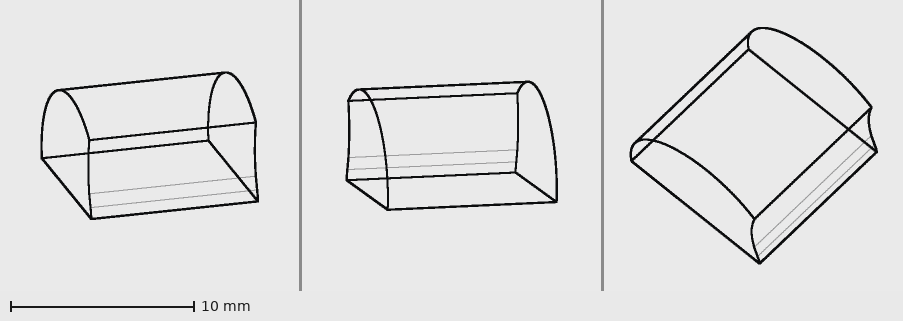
import cadquery as cq
import math

width = 9.53
length = 9.5
height = 5.69

dome_half_width = 5.52
dome_half_height = 4.9
dome_center_x = dome_half_width
dome_center_z = height - dome_half_height
dome_steps = 12

base_rise = 0.105

crest_z = 4.48
scoop_middle = (8.94, 2.86)
scoop_bottom = (9.13, 1.33)
flank_bottom = (9.38, 0.62)
lip_middle = (9.48, 0.32)
tip = (width, 0.0)


def dome_point(angle):
    """Point on the dome ellipse at a parametric angle."""
    return (
        dome_center_x + dome_half_width * math.cos(angle),
        dome_center_z + dome_half_height * math.sin(angle),
    )


def dome_angle(z):
    """Parametric angle on the right half of the dome at height z."""
    return math.asin((z - dome_center_z) / dome_half_height)


def make_profile():
    """Closed outline in the XZ plane."""
    start_angle = math.pi - dome_angle(base_rise)
    end_angle = dome_angle(crest_z)
    step = (end_angle - start_angle) / dome_steps
    dome = [dome_point(start_angle + i * step) for i in range(dome_steps + 1)]
    return (
        cq.Workplane("XZ")
        .moveTo(*dome[0])
        .spline(dome[1:], includeCurrent=True)
        .threePointArc(scoop_middle, scoop_bottom)
        .lineTo(*flank_bottom)
        .threePointArc(lip_middle, tip)
        .close()
    )


result = make_profile().extrude(length).translate((0, length / 2, 0))